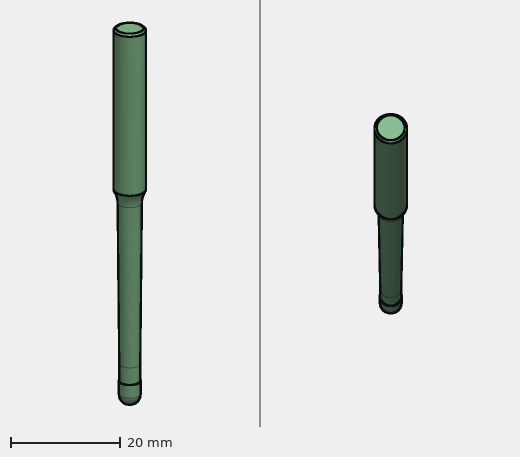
import cadquery as cq
import math

total_length = 75.0
shank_radius = 3.0
shank_bottom_z = 42.8
top_chamfer = 0.45

ball_radius = 2.0
head_top_z = 4.65

neck_radius = 1.95
taper_bottom_z = 8.0
taper_top_z = 40.1
taper_top_radius = 2.25

shoulder_height = shank_bottom_z - taper_top_z
shoulder_step = shank_radius - taper_top_radius
shoulder_radius = (shoulder_height**2 + shoulder_step**2) / (2 * shoulder_step)
shoulder_half_angle = math.asin(shoulder_height / shoulder_radius) / 2
shoulder_mid = (
    taper_top_radius + shoulder_radius * (1 - math.cos(shoulder_half_angle)),
    taper_top_z + shoulder_radius * math.sin(shoulder_half_angle),
)


def revolve_about_z(profile):
    """Turn a closed radius-height profile on the XZ plane around the Z axis."""
    return profile.close().revolve(360, (0, 0, 0), (0, 1, 0))


def make_cutting_head():
    """Cylinder with a hemispherical tip resting on Z = 0."""
    ball_mid = (
        ball_radius * math.sin(math.pi / 4),
        ball_radius * (1 - math.cos(math.pi / 4)),
    )
    profile = (
        cq.Workplane("XZ")
        .moveTo(0, 0)
        .threePointArc(ball_mid, (ball_radius, ball_radius))
        .lineTo(ball_radius, head_top_z)
        .lineTo(0, head_top_z)
    )
    return revolve_about_z(profile)


def make_shank():
    """Straight neck, tapered neck, concave shoulder and chamfered shank."""
    profile = (
        cq.Workplane("XZ")
        .moveTo(0, head_top_z)
        .lineTo(neck_radius, head_top_z)
        .lineTo(neck_radius, taper_bottom_z)
        .lineTo(taper_top_radius, taper_top_z)
        .threePointArc(shoulder_mid, (shank_radius, shank_bottom_z))
        .lineTo(shank_radius, total_length)
        .lineTo(0, total_length)
    )
    return revolve_about_z(profile).faces(">Z").edges().chamfer(top_chamfer)


cutting_head = make_cutting_head()
shank = make_shank()

result = cq.Compound.makeCompound([cutting_head.val(), shank.val()])